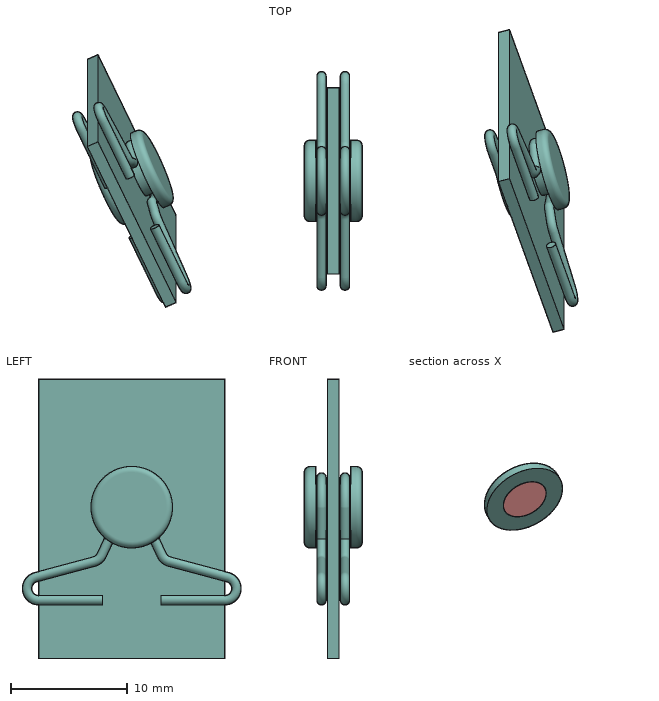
import cadquery as cq
import math

plate_thickness = 1.0
plate_width = 16.0
plate_height = 24.0

overall_thickness = 5.0
button_radius = 3.5
button_head_thickness = 1.0
button_edge_radius = 0.5
button_height = 1.0
stem_radius = 2.0

wire_radius = 0.4
wire_offset = 1.0
loop_radius = 2.55
clip_span = 18.8
hairpin_radius = 1.0
tail_drop = 8.0
tail_end = 2.5
neck_half_width = 1.95
neck_drop = 2.75
elbow_radius = 1.0
elbow_corner = 2.78
arm_slope = math.radians(15)

head_base = overall_thickness / 2 - button_head_thickness

hairpin_y = clip_span / 2 - wire_radius - hairpin_radius
hairpin_z = hairpin_radius - tail_drop
arm_end_y = hairpin_y + hairpin_radius * math.sin(arm_slope)
arm_end_z = hairpin_z + hairpin_radius * math.cos(arm_slope)
corner_z = arm_end_z + (arm_end_y - elbow_corner) * math.tan(arm_slope)
leg_slope = math.atan2(-neck_drop - corner_z, elbow_corner - neck_half_width)
elbow_turn = leg_slope - arm_slope
elbow_setback = elbow_radius * math.tan(elbow_turn / 2)

elbow_arm_y = elbow_corner + elbow_setback * math.cos(arm_slope)
elbow_arm_z = corner_z - elbow_setback * math.sin(arm_slope)
elbow_leg_y = elbow_corner - elbow_setback * math.cos(leg_slope)
elbow_leg_z = corner_z + elbow_setback * math.sin(leg_slope)
elbow_centre_y = elbow_arm_y + elbow_radius * math.sin(arm_slope)
elbow_centre_z = elbow_arm_z + elbow_radius * math.cos(arm_slope)
elbow_middle = (arm_slope + leg_slope) / 2
elbow_mid_y = elbow_centre_y - elbow_radius * math.sin(elbow_middle)
elbow_mid_z = elbow_centre_z - elbow_radius * math.cos(elbow_middle)


def make_button(side):
    """Stem and rounded head standing on one face of the plate."""
    stem_length = head_base - plate_thickness / 2
    stem = (
        cq.Workplane("YZ", origin=(side * plate_thickness / 2, 0, button_height))
        .circle(stem_radius)
        .extrude(side * stem_length)
    )
    outer_face = ">X" if side > 0 else "<X"
    head = (
        cq.Workplane("YZ", origin=(side * head_base, 0, button_height))
        .circle(button_radius)
        .extrude(side * button_head_thickness)
        .faces(outer_face)
        .edges()
        .fillet(button_edge_radius)
    )
    return stem.union(head)


def make_plate():
    """Plate with a button on both faces, as one body."""
    plate = cq.Workplane("XY").box(plate_thickness, plate_width, plate_height)
    for side in (-1, 1):
        plate = plate.union(make_button(side))
    return plate


def make_wire_clip(side):
    """Round wire looped over a stem, with an arm, hairpin and tail at each end."""
    path = (
        cq.Workplane("YZ", origin=(side * wire_offset, 0, button_height))
        .moveTo(tail_end, -tail_drop)
        .lineTo(hairpin_y, -tail_drop)
        .threePointArc((hairpin_y + hairpin_radius, hairpin_z), (arm_end_y, arm_end_z))
        .lineTo(elbow_arm_y, elbow_arm_z)
        .threePointArc((elbow_mid_y, elbow_mid_z), (elbow_leg_y, elbow_leg_z))
        .lineTo(neck_half_width, -neck_drop)
        .lineTo(loop_radius, 0)
        .threePointArc((0, loop_radius), (-loop_radius, 0))
        .lineTo(-neck_half_width, -neck_drop)
        .lineTo(-elbow_leg_y, elbow_leg_z)
        .threePointArc((-elbow_mid_y, elbow_mid_z), (-elbow_arm_y, elbow_arm_z))
        .lineTo(-arm_end_y, arm_end_z)
        .threePointArc((-hairpin_y - hairpin_radius, hairpin_z), (-hairpin_y, -tail_drop))
        .lineTo(-tail_end, -tail_drop)
    )
    tail_centre = (side * wire_offset, tail_end, button_height - tail_drop)
    section = cq.Workplane("XZ", origin=tail_centre).circle(wire_radius)
    return section.sweep(path, transition="round")


plate = make_plate()
wire_clips = [make_wire_clip(side) for side in (-1, 1)]

result = cq.Compound.makeCompound([plate.solids().val(), *[clip.val() for clip in wire_clips]])